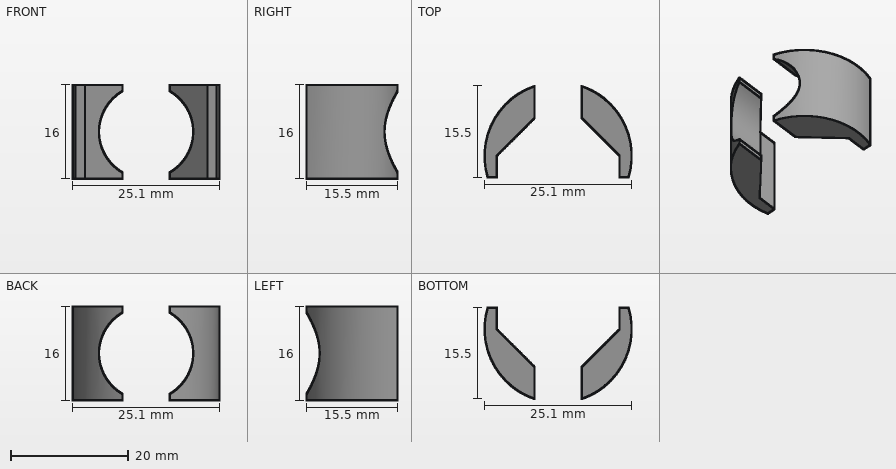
import cadquery as cq
import math

outer_radius = 12.54
height = 16.0
half_gap = 4.0
depth = 15.52
wall_inner_x = 10.4
slope_start_y = 0.05
bore_radius = height / 2

back_y = math.sqrt(outer_radius**2 - half_gap**2)
front_y = back_y - depth
front_outer_x = math.sqrt(outer_radius**2 - front_y**2)
slope_end_y = slope_start_y + wall_inner_x - half_gap
bore_length = 2 * outer_radius


def make_bore():
    """Cylinder along Y that hollows the facing sides of both jaws."""
    return (
        cq.Workplane("XZ")
        .circle(bore_radius)
        .extrude(bore_length / 2, both=True)
    )


def make_jaw(side):
    """One jaw; side is +1 for the +X jaw and -1 for the -X jaw."""
    blank = (
        cq.Workplane("XY")
        .workplane(offset=-height / 2)
        .moveTo(side * front_outer_x, front_y)
        .threePointArc((side * outer_radius, 0), (side * half_gap, back_y))
        .lineTo(side * half_gap, slope_end_y)
        .lineTo(side * wall_inner_x, slope_start_y)
        .lineTo(side * wall_inner_x, front_y)
        .close()
        .extrude(height)
    )
    return blank.cut(make_bore())


jaws = [make_jaw(side) for side in (-1, 1)]

result = cq.Compound.makeCompound([jaw.val() for jaw in jaws])